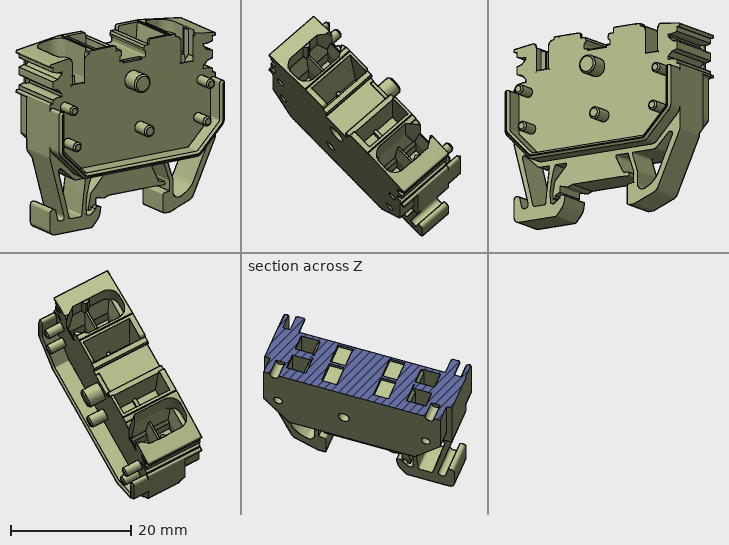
import cadquery as cq
import math

HALF_LENGTH = 16.6
HEIGHT = 30.88
BODY_X = 10.13
WIDTH = 13.2
STEP_X = 3.15
FOOT_X = 4.2
BODY_BOTTOM = 8.85
CHAMFER_TOP = 13.1

PLATE_HALF = 15.65
PLATE_TOP = 22.45
PLATE_BEND = 15.2
PLATE_BOTTOM = 10.72
PLATE_FLAT_HALF = PLATE_HALF - (PLATE_BEND - PLATE_BOTTOM)
RIM_WALL = HALF_LENGTH - PLATE_HALF
RIM_TOP = 22.18
RIM_CHAMFER = 0.4

SLOT_FLOOR = 27.95
SHELF_Z = 29.95
SHELF_HALF = 3.3
SCORE_Y = 7.6
SCORE_WIDTH = 0.13
SCORE_DEPTH = 0.1

RIDGE_HALF = 16.05
GROOVE_HALF = 15.05
UPPER_GROOVE_BOTTOM = 27.02
UPPER_GROOVE_TOP = 28.15
LOWER_GROOVE_BOTTOM = 23.87
LOWER_GROOVE_TOP = 25.15
GROOVE_FLARE = 0.25

SOCKETS = [
    (0, 24.45, 3.05),
    (1.43, 15.9, 1.9),
    (13.7, 22.0, 1.53),
    (-13.7, 22.0, 1.53),
    (13.05, 15.6, 1.53),
    (-13.05, 15.6, 1.53),
]
PIN_OVERSIZE = 0.1
PIN_CHAMFER = 0.25

ENTRY_INNER = 8.1
ENTRY_OUTER = 13.6
ENTRY_X0 = 0.45
ENTRY_ROUND = 2.05
ENTRY_TAPER_X = 8.17
ENTRY_FLOOR = 25.55
FUNNEL_X0 = 1.25
FUNNEL_X1 = 9.95
FUNNEL_INNER = 8.93
FUNNEL_END = 21.9
LIP_HEIGHT = 0.65
WELL_INNER = 9.43
WELL_OUTER = 12.25
WELL_X0 = 2.25
WELL_X1 = 9.35
WELL_FLOOR = 18.25
WEB_X0 = 5.0
WEB_X1 = 6.55
WEB_CREST_X0 = 5.6
WEB_CREST_X1 = 5.95
POST_DEPTH = 0.5
POST_TOP = 29.88
WINDOW_INNER = 9.73
WINDOW_OUTER = 12.12
WINDOW_ROUND = 1.1

DRIVER_OUTER = 7.1
DRIVER_X0 = 0.95
DRIVER_X1 = 9.65
DRIVER_FLOOR = 21.58
DRIVER_FLOOR_OUTER = 5.8
DRIVER_FLOOR_X0 = 1.63
RIB_X0 = 5.35
RIB_X1 = 5.95
RIB_HEIGHT = 1.0


def rounded_outline(corners, x0, x1):
    """Extrude a YZ polygon from x0 to x1; a corner (y, z, r) is rounded by radius r."""
    path = []
    count = len(corners)
    for i in range(count):
        y, z = corners[i][:2]
        radius = corners[i][2] if len(corners[i]) > 2 else 0
        here = cq.Vector(y, z)
        if radius == 0:
            path.append((here,))
            continue
        to_last = (cq.Vector(*corners[i - 1][:2]) - here).normalized()
        to_next = (cq.Vector(*corners[(i + 1) % count][:2]) - here).normalized()
        half_angle = to_last.getAngle(to_next) / 2
        tangent = radius / math.tan(half_angle)
        bisector = (to_last + to_next).normalized()
        middle = here + bisector * (radius / math.sin(half_angle) - radius)
        path.append((here + to_last * tangent, middle, here + to_next * tangent))

    def flat(point):
        return (point.x, point.y)

    same_point = 3.32e-07
    end = path[0][-1]
    sketch = cq.Workplane("YZ", origin=(x0, 0, 0)).moveTo(*flat(end))
    for stop in path[1:] + path[:1]:
        if stop is path[0] and len(stop) == 1:
            continue
        if (stop[0] - end).Length > same_point:
            sketch = sketch.lineTo(*flat(stop[0]))
        end = stop[-1]
        if len(stop) == 3:
            sketch = sketch.threePointArc(flat(stop[1]), flat(stop[2]))
    return sketch.close().extrude(x1 - x0)


def mirrored(corners):
    """The same corners on the -Y side, in reverse order."""
    return [(-corner[0],) + tuple(corner[1:]) for corner in reversed(corners)]


def box(x0, x1, y0, y1, z0, z1):
    return cq.Workplane("XY").box(x1 - x0, y1 - y0, z1 - z0, centered=False).translate((x0, y0, z0))


def tapered(top, bottom, top_z, bottom_z):
    """Solid between two rectangles (x0, x1, y0, y1) at different heights."""
    wires = []
    for (x0, x1, y0, y1), z in ((bottom, bottom_z), (top, top_z)):
        corners = [(x0, y0, z), (x1, y0, z), (x1, y1, z), (x0, y1, z)]
        wires.append(cq.Wire.makePolygon([cq.Vector(*corner) for corner in corners], close=True))
    return cq.Workplane("XY").add(cq.Solid.makeLoft(wires, True))


def both_ends(half):
    """A +Y feature together with its mirror image at the -Y end."""
    return half.union(half.mirror("XZ"))


UPPER_HALF = [
    (2.6, SLOT_FLOOR, 0.23),
    (2.6, 28.8, 0.23),
    (2.22, 29.1, 0.2),
    (2.22, 29.45),
    (2.4, SHELF_Z),
    (SHELF_HALF, SHELF_Z),
    (SHELF_HALF, HEIGHT, 0.4),
    (SCORE_Y, HEIGHT),
    (SCORE_Y, HEIGHT - SCORE_DEPTH),
    (SCORE_Y + SCORE_WIDTH, HEIGHT - SCORE_DEPTH),
    (SCORE_Y + SCORE_WIDTH, HEIGHT),
    (ENTRY_INNER, HEIGHT),
    (HALF_LENGTH, 29.78, 0.25),
    (HALF_LENGTH, 29.25, 0.23),
    (RIDGE_HALF, 29.25),
    (RIDGE_HALF, UPPER_GROOVE_TOP + GROOVE_FLARE),
    (GROOVE_HALF, UPPER_GROOVE_TOP),
    (GROOVE_HALF, UPPER_GROOVE_BOTTOM),
    (RIDGE_HALF, UPPER_GROOVE_BOTTOM - GROOVE_FLARE),
    (RIDGE_HALF, LOWER_GROOVE_TOP + GROOVE_FLARE),
    (GROOVE_HALF, LOWER_GROOVE_TOP),
    (GROOVE_HALF, LOWER_GROOVE_BOTTOM),
    (RIDGE_HALF, LOWER_GROOVE_BOTTOM - GROOVE_FLARE),
    (RIDGE_HALF, 22.9),
    (HALF_LENGTH, 22.9, 0.23),
]

PLUS_LEG = [
    (HALF_LENGTH, 11.52, 0.65),
    (11.95, 1.65, 1.65),
    (7.45, 0, 0.65),
    (6.05, 0, 0.35),
    (6.05, 3.5, 0.33),
    (7.37, 3.72),
    (7.37, 5.55, 0.5),
    (6.25, BODY_BOTTOM, 0.23),
]

RAIL_BLOCK = [
    (3.65, BODY_BOTTOM, 0.25),
    (5.3, 5.65, 0.5),
    (6.45, 5.65, 0.33),
    (6.45, 4.95, 0.2),
    (4.65, 5.05),
    (-4.85, 5.05),
    (-5.75, 4.7, 0.33),
    (-7.37, 5.08, 0.15),
    (-7.4, 4.02),
    (-8.35, 3.55),
    (-8.35, 3.12),
    (-8.83, 3.12),
    (-8.83, 3.9),
    (-8.4, 6.05, 0.25),
    (-5.7, BODY_BOTTOM, 0.25),
]

MINUS_LEG = [
    (-8.3, BODY_BOTTOM),
    (-8.65, 7.97),
    (-9.13, 6.1),
    (-9.35, 4.4),
    (-9.3, 2.3, 0.4),
    (-8.45, 2.3, 0.15),
    (-7.47, 3.12),
    (-7.3, 3.6, 0.15),
    (-6.37, 3.32, 0.15),
    (-6.65, 1.65, 2.65),
    (-8.17, 0, 0.5),
    (-HALF_LENGTH, 0, 0.95),
    (-HALF_LENGTH, 4.48, 0.55),
    (-15.55, 4.48, 0.45),
    (-14.97, 2.22, 0.55),
    (-13.58, 2.22, 0.55),
    (-HALF_LENGTH, 13.45, 1.65),
]

PLUS_LEG_OPENING = [
    (16.1, 12.98, 0.45),
    (11.62, 3.4, 4),
    (8.1, 1.65, 1.1),
    (8.1, 5.58, 0.5),
    (7.05, BODY_BOTTOM, 0.2),
    (11.72, BODY_BOTTOM, 1),
]
MINUS_LEG_OPENING = [
    (-9.45, BODY_BOTTOM, 0.25),
    (-11.7, BODY_BOTTOM, 1),
    (-15.2, 12.12, 0.4),
    (-12.75, 2.3, 0.43),
    (-10.25, 2.3, 0.4),
    (-9.85, 6.1),
]

PLATE_LOWER_HALF = [
    (HALF_LENGTH, PLATE_TOP),
    (PLATE_HALF, PLATE_TOP, 0.25),
    (PLATE_HALF, PLATE_BEND, 0.65),
    (PLATE_FLAT_HALF, PLATE_BOTTOM, 0.33),
]


def middle_section():
    """Full-length section that carries the rail foot."""
    outline = mirrored(UPPER_HALF) + UPPER_HALF + PLUS_LEG + RAIL_BLOCK + MINUS_LEG
    section = rounded_outline(outline, STEP_X, BODY_X)
    undercut = (
        cq.Workplane("XZ", origin=(0, HALF_LENGTH, 0))
        .polyline([
            (STEP_X, CHAMFER_TOP),
            (FOOT_X, CHAMFER_TOP - (FOOT_X - STEP_X)),
            (FOOT_X, 0),
            (STEP_X, 0),
        ])
        .close()
        .extrude(2 * HALF_LENGTH)
    )
    section = section.cut(undercut)
    for opening in (PLUS_LEG_OPENING, MINUS_LEG_OPENING):
        section = section.cut(rounded_outline(opening, STEP_X, BODY_X))
    return section


def nesting_plate():
    """Plate on the -X side that fits inside the rim of the next housing."""
    half = UPPER_HALF + PLATE_LOWER_HALF
    return rounded_outline(mirrored(half) + half, 0, FOOT_X)


def wedge_strip():
    """Thin wedge under the plate, along the foot."""
    half_length = 11.0
    tip_x = 1.8
    tip_top = 9.45
    root_top = 9.9
    return (
        cq.Workplane("XZ", origin=(0, half_length, 0))
        .polyline([
            (tip_x, BODY_BOTTOM),
            (tip_x, tip_top),
            (FOOT_X, root_top),
            (FOOT_X, BODY_BOTTOM),
        ])
        .close()
        .extrude(2 * half_length)
    )


def nesting_rim():
    """Open-topped rim on the +X side, parallel to the nesting plate."""
    bottom = PLATE_BOTTOM - RIM_WALL
    outer_shift = RIM_WALL * math.sqrt(2) - RIM_WALL
    outer_half = [
        (HALF_LENGTH, RIM_TOP, 0.45),
        (HALF_LENGTH, PLATE_BEND - outer_shift, 1.6),
        (PLATE_FLAT_HALF + outer_shift, bottom, 1.25),
    ]
    inner_half = [
        (PLATE_HALF, RIM_TOP, 0.45),
        (PLATE_HALF, PLATE_BEND, 0.65),
        (PLATE_FLAT_HALF, PLATE_BOTTOM, 0.33),
    ]
    outline = outer_half + mirrored(outer_half) + mirrored(inner_half)[::-1] + inner_half[::-1]
    rim = rounded_outline(outline, BODY_X, WIDTH)
    return rim.faces(">X").chamfer(RIM_CHAMFER)


def cylinder(x0, y, z, diameter):
    return cq.Workplane("YZ", origin=(x0, y, z)).circle(diameter / 2).extrude(WIDTH - BODY_X)


def pin(y, z, socket_diameter):
    peg = cylinder(BODY_X, y, z, socket_diameter + PIN_OVERSIZE)
    return peg.faces(">X").chamfer(PIN_CHAMFER)


def socket(y, z, diameter):
    """Socket as deep as a pin is long."""
    return cylinder(0, y, z, diameter)


def wire_entry():
    """Rounded entry that narrows to two wells, with a window through the +X wall."""
    outline = [
        (ENTRY_X0, ENTRY_INNER),
        (ENTRY_TAPER_X, ENTRY_INNER),
        (BODY_X, WINDOW_INNER),
        (BODY_X, WINDOW_OUTER),
        (ENTRY_TAPER_X, ENTRY_OUTER),
        (ENTRY_X0, ENTRY_OUTER),
    ]
    shaft = (
        cq.Workplane("XY", origin=(0, 0, FUNNEL_END))
        .polyline(outline)
        .close()
        .extrude(HEIGHT - FUNNEL_END)
    )
    shaft = shaft.edges("|Z and <X").fillet(ENTRY_ROUND)
    mouth = shaft.intersect(box(0, BODY_X, 0, HALF_LENGTH, ENTRY_FLOOR, HEIGHT))
    funnel_exit = (WELL_X0, WELL_X1, FUNNEL_INNER, WELL_OUTER)
    well_top = (WELL_X0, WELL_X1, WELL_INNER, WELL_OUTER)
    funnel = tapered(
        (FUNNEL_X0, FUNNEL_X1, ENTRY_INNER, ENTRY_OUTER),
        funnel_exit,
        ENTRY_FLOOR,
        FUNNEL_END,
    ).intersect(shaft)
    lip_bottom = FUNNEL_END - LIP_HEIGHT
    lip = tapered(funnel_exit, well_top, FUNNEL_END, lip_bottom)
    wells = box(*well_top, WELL_FLOOR, lip_bottom)
    entry = mouth.union(funnel).union(lip).union(wells)
    return entry.cut(entry_web()).cut(entry_post()).union(wall_window())


def entry_web():
    """Web between the two wells, with a narrow crest."""
    web = [
        (WEB_X0, WELL_FLOOR),
        (WEB_X0, FUNNEL_END),
        (WEB_CREST_X0, ENTRY_FLOOR),
        (WEB_CREST_X1, ENTRY_FLOOR),
        (WEB_X1, FUNNEL_END),
        (WEB_X1, WELL_FLOOR),
    ]
    return (
        cq.Workplane("XZ", origin=(0, ENTRY_OUTER, 0))
        .polyline(web)
        .close()
        .extrude(ENTRY_OUTER - FUNNEL_INNER)
    )


def entry_post():
    """Post on the outer wall of the entry, above the web."""
    crest = ENTRY_OUTER - POST_DEPTH
    return (
        cq.Workplane("XY", origin=(0, 0, FUNNEL_END))
        .polyline([
            (WEB_X0, ENTRY_OUTER),
            (WEB_CREST_X0, crest),
            (WEB_CREST_X1, crest),
            (WEB_X1, ENTRY_OUTER),
        ])
        .close()
        .extrude(POST_TOP - FUNNEL_END)
    )


def wall_window():
    """Window in the +X wall, with its upper edges rounded outwards."""
    start_x = 8.8
    rim_z = 30.4
    mouth_inner = WINDOW_INNER - WINDOW_ROUND
    mouth_outer = WINDOW_OUTER + WINDOW_ROUND
    outline = [
        (WINDOW_OUTER, ENTRY_FLOOR),
        (WINDOW_OUTER, rim_z, WINDOW_ROUND),
        (mouth_outer, rim_z),
        (mouth_outer, HEIGHT),
        (mouth_inner, HEIGHT),
        (mouth_inner, rim_z),
        (WINDOW_INNER, rim_z, WINDOW_ROUND),
        (WINDOW_INNER, ENTRY_FLOOR),
    ]
    return rounded_outline(outline, start_x, BODY_X)


def driver_pocket():
    """Tapered screwdriver pocket, open towards the label slot above the ledge."""
    pocket = tapered(
        (DRIVER_X0, DRIVER_X1, SHELF_HALF, DRIVER_OUTER),
        (DRIVER_FLOOR_X0, DRIVER_X1, SHELF_HALF, DRIVER_FLOOR_OUTER),
        HEIGHT,
        DRIVER_FLOOR,
    )
    rib = box(RIB_X0, RIB_X1, SHELF_HALF, DRIVER_OUTER, DRIVER_FLOOR, DRIVER_FLOOR + RIB_HEIGHT)
    return pocket.cut(rib)


def label_recess():
    """Shallow recess at the +X edge of the label slot floor."""
    half_length = 1.9
    start_x = 9.45
    depth = 0.33
    return box(start_x, BODY_X, -half_length, half_length, SLOT_FLOOR - depth, SLOT_FLOOR)


def grip_pockets():
    """Deeper part of the +Y grip grooves, behind a thin web at the -X face."""
    web = 0.5
    depth = 0.8
    bottom = GROOVE_HALF - depth
    upper = [
        (GROOVE_HALF, UPPER_GROOVE_BOTTOM),
        (bottom, UPPER_GROOVE_BOTTOM + depth),
        (bottom, UPPER_GROOVE_TOP),
        (GROOVE_HALF, UPPER_GROOVE_TOP),
    ]
    lower = [
        (GROOVE_HALF, LOWER_GROOVE_TOP),
        (bottom, LOWER_GROOVE_TOP - depth),
        (bottom, LOWER_GROOVE_BOTTOM),
        (GROOVE_HALF, LOWER_GROOVE_BOTTOM),
    ]
    return rounded_outline(upper, web, BODY_X).union(rounded_outline(lower, web, BODY_X))


result = middle_section().union(nesting_plate()).union(wedge_strip()).union(nesting_rim())
for place in SOCKETS:
    result = result.union(pin(*place)).cut(socket(*place))
result = result.cut(both_ends(wire_entry())).cut(both_ends(driver_pocket())).cut(label_recess())
result = result.cut(both_ends(grip_pockets()))